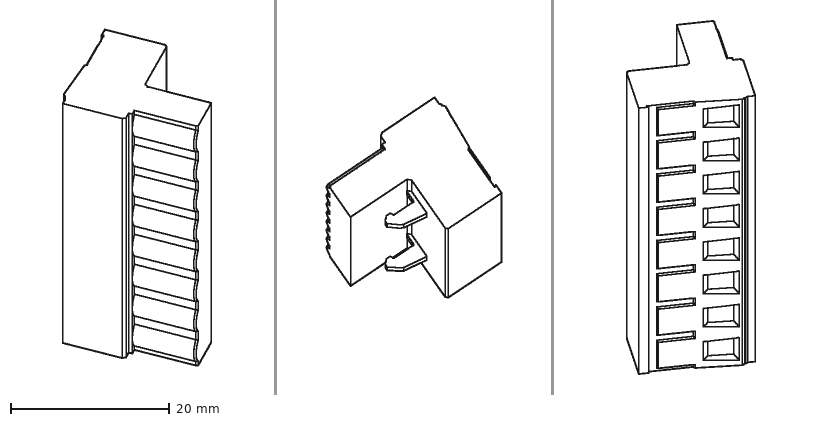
import cadquery as cq

poles = 8
height = 40.65
pitch = height / poles
length = 18.0
depth = 15.0

face_x = 0.5
recess_x = 0.77
recess_top_y = 13.9
recess_lip_y = 13.7
step_top_y = 7.92
step_bottom_y = 7.72
nose_y = 1.75
groove_x = 0.3
groove_y = 1.4
groove_width = 0.12
foot_y = 0.98

block_x = 8.95
block_chamfer = 0.3
foot_chamfer = 0.4
inner_chamfer = 0.4
neck_x = 9.43
plug_top_y = 6.8
plug_flat_y = 2.0
rib_bottom_y = 1.25
rib_width = 3.7
end_chamfer_length = 0.3
end_chamfer_depth = 0.12

button_top_y = 12.65
button_width = 4.3
button_slope = 0.15

funnel_top_y = 6.7
funnel_bottom_y = 2.15
funnel_narrow = 2.8
funnel_wide = 3.4
floor_x = 1.0
floor_top_y = 6.0
floor_bottom_y = 2.7
floor_narrow = 2.45
floor_wide = 2.75

latch_width = 2.05
latch_top_y = 10.65
latch_under_y = 8.45
latch_tip_x = 13.85
latch_tip_y = 8.95
latch_back = [(12.2, 10.15), (12.7, 9.85), (13.5, 9.2)]
barb_start_x = 12.5
barb_flat_x = (12.75, 13.35)
barb_y = 8.0
latch_poles = (1, poles - 2)


def pole_z(pole):
    """Height of the middle of one pole."""
    return (pole + 0.5) * pitch


def prism(points, z_middle, width):
    """Straight prism along Z, centred on z_middle."""
    base = cq.Workplane("XY").workplane(offset=z_middle - width / 2)
    return base.polyline(points).close().extrude(width)


def make_housing():
    """Full-height block with its sloping wire face, neck and flat plug."""
    outline = [
        (face_x, depth),
        (face_x, recess_lip_y),
        (recess_x, recess_top_y),
        (recess_x, step_top_y),
        (face_x, step_bottom_y),
        (0, nose_y),
        (groove_x, groove_y),
        (groove_x, groove_y - groove_width),
        (face_x, foot_y),
        (face_x, 0),
        (block_x - foot_chamfer, 0),
        (block_x, block_chamfer),
        (block_x, rib_bottom_y),
        (neck_x, rib_bottom_y),
        (neck_x, plug_flat_y),
        (length - end_chamfer_length, plug_flat_y),
        (length, plug_flat_y + end_chamfer_depth),
        (length, plug_top_y),
        (block_x + inner_chamfer, plug_top_y),
        (block_x, plug_top_y + inner_chamfer),
        (block_x, depth - block_chamfer),
        (block_x - block_chamfer, depth),
    ]
    return prism(outline, height / 2, height)


def make_plug_rib(z):
    """Rounded rib under the plug with a chamfered free end."""
    rib = (
        cq.Workplane("YZ", origin=(neck_x, 0, z))
        .moveTo(plug_flat_y, -rib_width / 2)
        .threePointArc((rib_bottom_y, 0), (plug_flat_y, rib_width / 2))
        .lineTo(plug_top_y, rib_width / 2)
        .lineTo(plug_top_y, -rib_width / 2)
        .close()
        .extrude(length - neck_x)
    )
    return rib.faces(">X").edges("%CIRCLE").chamfer(end_chamfer_length, end_chamfer_depth)


def make_button(z):
    """Raised button with sloping sides, running down to the step."""

    def rectangle(x, inset):
        half_width = button_width / 2 - inset
        return cq.Wire.makePolygon(
            [
                cq.Vector(x, step_bottom_y, z - half_width),
                cq.Vector(x, button_top_y - inset, z - half_width),
                cq.Vector(x, button_top_y - inset, z + half_width),
                cq.Vector(x, step_bottom_y, z + half_width),
            ],
            close=True,
        )

    base = rectangle(recess_x, 0)
    top = rectangle(face_x, button_slope)
    return cq.Workplane(cq.Solid.makeLoft([base, top], True))


def make_funnel(z):
    """Tapering wire entry, wider toward -Y and narrowing to a flat floor."""
    face_slope = face_x / (step_bottom_y - nose_y)
    top_x = (funnel_top_y - nose_y) * face_slope
    bottom_x = (funnel_bottom_y - nose_y) * face_slope

    def trapezoid(x_top, y_top, narrow, x_bottom, y_bottom, wide):
        return cq.Wire.makePolygon(
            [
                cq.Vector(x_top, y_top, z - narrow / 2),
                cq.Vector(x_top, y_top, z + narrow / 2),
                cq.Vector(x_bottom, y_bottom, z + wide / 2),
                cq.Vector(x_bottom, y_bottom, z - wide / 2),
            ],
            close=True,
        )

    mouth = trapezoid(top_x, funnel_top_y, funnel_narrow, bottom_x, funnel_bottom_y, funnel_wide)
    floor = trapezoid(floor_x, floor_top_y, floor_narrow, floor_x, floor_bottom_y, floor_wide)
    return cq.Workplane(cq.Solid.makeLoft([mouth, floor], True))


def make_latch(z):
    """Hooked arm above the plug, joined to the block by a thin web."""
    hook = [
        (block_x - block_chamfer, plug_top_y),
        (block_x - block_chamfer, latch_top_y),
        (block_x, latch_top_y),
        *latch_back,
        (latch_tip_x, latch_tip_y),
        (latch_tip_x, latch_under_y),
        (barb_flat_x[1], barb_y),
        (barb_flat_x[0], barb_y),
        (barb_start_x, latch_under_y),
        (neck_x, latch_under_y),
        (neck_x, plug_top_y),
    ]
    return prism(hook, z, latch_width)


result = make_housing()
for pole in range(poles):
    z_pole = pole_z(pole)
    result = result.union(make_plug_rib(z_pole))
    result = result.union(make_button(z_pole)).cut(make_funnel(z_pole))
for pole in latch_poles:
    result = result.union(make_latch(pole_z(pole)))